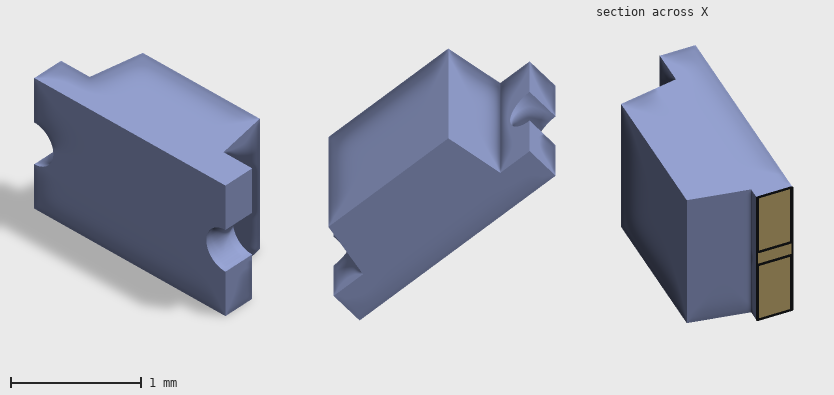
import cadquery as cq
import math

LENGTH = 2.0
WIDTH = 1.25
TOTAL_THICKNESS = 0.8
BOARD_THICKNESS = 0.3

LENS_BASE_LENGTH = 1.4
LENS_DRAFT_DEGREES = 10.0

FOIL_THICKNESS = 0.01
SOLDER_PAD_LENGTH = 0.4
NOTCH_RADIUS = 0.2

MARK_THICKNESS = 0.005
MARK_START_X = -0.15
MARK_BAR_LENGTH = 0.15
MARK_TAB_LENGTH = 0.15
MARK_TAB_WIDTH = 0.15

HALF_LENGTH = LENGTH / 2
TOP_PAD_LENGTH = (LENGTH - LENS_BASE_LENGTH) / 2


def block(x_start, x_end, y_start, y_end, width):
    """Box between X and Y limits, centred on Z = 0."""
    size = (x_end - x_start, y_end - y_start, width)
    corner = (x_start, y_start, -width / 2)
    return cq.Workplane("XY").box(*size, centered=False).translate(corner)


def end_cylinder(radius):
    """Cylinder through the board thickness, centred on its -X end face."""
    axis_start = cq.Vector(-HALF_LENGTH, 0, 0)
    cylinder = cq.Solid.makeCylinder(radius, BOARD_THICKNESS, axis_start, cq.Vector(0, 1, 0))
    return cq.Workplane(obj=cylinder)


def make_left_terminal():
    """Solder pad and top pad joined by the plated lining of the end notch."""
    solder_pad = block(-HALF_LENGTH, SOLDER_PAD_LENGTH - HALF_LENGTH, 0, FOIL_THICKNESS, WIDTH)
    top_pad = block(
        -HALF_LENGTH,
        TOP_PAD_LENGTH - HALF_LENGTH,
        BOARD_THICKNESS - FOIL_THICKNESS,
        BOARD_THICKNESS,
        WIDTH,
    )
    inside_board = block(-HALF_LENGTH, HALF_LENGTH, 0, BOARD_THICKNESS, WIDTH)
    lining = end_cylinder(NOTCH_RADIUS + FOIL_THICKNESS).intersect(inside_board)
    return solder_pad.union(top_pad).union(lining).cut(end_cylinder(NOTCH_RADIUS))


def make_terminals():
    """One terminal at each end, the right one turned half a turn about Y."""
    left_terminal = make_left_terminal()
    return [left_terminal.rotate((0, 0, 0), (0, 1, 0), angle) for angle in (0, 180)]


def make_polarity_mark():
    """Bar across the solder side with a square tab pointing toward +X."""
    bar_end = MARK_START_X + MARK_BAR_LENGTH
    bar = block(MARK_START_X, bar_end, 0, MARK_THICKNESS, WIDTH)
    tab = block(bar_end, bar_end + MARK_TAB_LENGTH, 0, MARK_THICKNESS, MARK_TAB_WIDTH)
    return bar.union(tab)


def make_board(terminals, polarity_mark):
    """Board with end notches and flush recesses for the terminals and the mark."""
    board = block(-HALF_LENGTH, HALF_LENGTH, 0, BOARD_THICKNESS, WIDTH)
    notch = end_cylinder(NOTCH_RADIUS)
    for angle in (0, 180):
        board = board.cut(notch.rotate((0, 0, 0), (0, 1, 0), angle))
    for terminal in terminals:
        board = board.cut(terminal)
    return board.cut(polarity_mark)


def make_lens():
    """Lens with both ends leaning inward and flat sides flush with the board."""
    base_half = LENS_BASE_LENGTH / 2
    lens_height = TOTAL_THICKNESS - BOARD_THICKNESS
    top_half = base_half - lens_height * math.tan(math.radians(LENS_DRAFT_DEGREES))
    outline = [
        (-base_half, BOARD_THICKNESS),
        (base_half, BOARD_THICKNESS),
        (top_half, TOTAL_THICKNESS),
        (-top_half, TOTAL_THICKNESS),
    ]
    return cq.Workplane("XY").polyline(outline).close().extrude(WIDTH / 2, both=True)


terminals = make_terminals()
polarity_mark = make_polarity_mark()
board = make_board(terminals, polarity_mark)
lens = make_lens()

bodies = [board, lens, polarity_mark, *terminals]

result = cq.Compound.makeCompound([body.solids().val() for body in bodies])